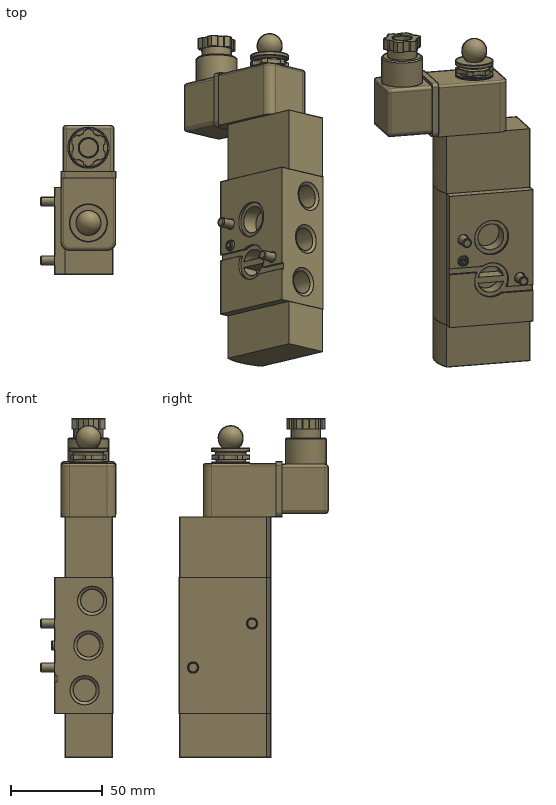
import cadquery as cq
import math


FACE_Y = -28.0
SIDE_X = 13.3
BODY_LEFT_X = -18.5
CAP_LEFT_X = -12.7
BODY_BOTTOM_Z = 23.8
BODY_TOP_Z = 97.9
UPPER_CAP_TOP_Z = 130.9
BACK_Y = 19.4
BACK_BULGE = 2.5
CAP_INSET = 0.2
BODY_MID_Z = (BODY_BOTTOM_Z + BODY_TOP_Z) / 2

FRONT_PORT_D = 12.5
FRONT_PORT_DEPTH = 14.7
FRONT_PORT_CHAMFER = 1.7
FRONT_PORT_CHAMFER_DEPTH = 1.1
FRONT_PORT_PITCH_Z = 24.3
FRONT_PORT_STEP_X = 2.0

SIDE_PORT_Y = -4.5
SIDE_PORT_OFFSET_Z = 12.0
SIDE_PORT_D = 14.5
SIDE_PORT_DEPTH = 10.7
SEAL_RECESS_D = 19.2
SEAL_RECESS_DEPTH = 1.5
PORT_BAR_HEIGHT = 3.3

GROOVE_HEIGHT = 3.3
BACK_GROOVE_Z = 55.3
FRONT_GROOVE_Z = 42.8

SCREW_D = 5.0
SCREW_HOLE_D = 5.9
SCREW_REACH = 7.5
SCREW_CHAMFER = 0.5
BACK_SCREW_Y = 11.6
FRONT_SCREW_Y = -20.5
UPPER_PORT_Z = BODY_MID_Z + SIDE_PORT_OFFSET_Z
LOWER_PORT_Z = BODY_MID_Z - SIDE_PORT_OFFSET_Z
SCREW_PLACES = ((BACK_SCREW_Y, UPPER_PORT_Z), (FRONT_SCREW_Y, LOWER_PORT_Z))
SET_SCREW_REACH = 1.7
SET_SCREW_HOLE_DEPTH = 8.3
SET_SCREW_BORE_D = 2.4
SET_SCREW_BORE_DEPTH = 2.8

COIL_WIDTH = 29.7
COIL_FRONT_Y = -15.0
COIL_BACK_Y = 24.5
COIL_TOP_Z = 159.8
COIL_CORNER_R = 4.6
COIL_EDGE_R = 1.3

GASKET_WIDTH = 29.9
GASKET_BACK_Y = 28.0
GASKET_TOP_Z = 161.0
GASKET_EDGE_R = 2.0

PLUG_WIDTH = 27.7
PLUG_BACK_Y = 53.1
PLUG_BOTTOM_Z = 132.5
PLUG_TOP_Z = 159.5
PLUG_EDGE_R = 1.8
TOWER_Y = 41.0
TOWER_D = 22.3
TOWER_TOP_Z = 173.8
TOWER_CHAMFER = 0.7
NECK_D = 16.0
GLAND_BOTTOM_Z = 178.6
GLAND_TOP_Z = 184.4
GLAND_SIDES = 6
GLAND_ACROSS_FLATS = 18.0
GLAND_NOTCH_WIDTH = 4.0
GLAND_NOTCH_FLOOR_WIDTH = 3.1
GLAND_NOTCH_DEPTH = 0.7
GLAND_BORE_D = 10.0
GLAND_BORE_DEPTH = 11.0
GLAND_BORE_CHAMFER = 0.5

NUT_D = 20.6
NUT_CHAMFER = 0.28
NUT_WAIST_D = 15.9
NUT_FOOT_TOP_Z = 160.8
NUT_GRIP_BOTTOM_Z = 162.0
NUT_GRIP_TOP_Z = 164.5
NUT_HEAD_BOTTOM_Z = 166.5
NUT_TOP_Z = 168.3
NUT_SHOULDER_D = 17.7
NUT_SHOULDER_HEIGHT = 1.1
SCOOP_COUNT = 6
SCOOP_R = 5.5
SCOOP_FLOOR_R = 8.3
BALL_D = 13.6
BALL_Z = 173.7


def box(x_range, y_range, z_range):
    """Box between the given limits."""
    size = [high - low for low, high in (x_range, y_range, z_range)]
    corner = (x_range[0], y_range[0], z_range[0])
    return cq.Workplane("XY").box(*size, centered=False).translate(corner)


def cylinder_up(diameter, bottom_z, top_z, y=0):
    """Vertical cylinder on X = 0."""
    return cq.Workplane("XY", origin=(0, y, bottom_z)).circle(diameter / 2).extrude(top_z - bottom_z)


def cylinder_x(diameter, x, length, y, z):
    """Cylinder from x along +X, or along -X for a negative length."""
    return cq.Workplane("YZ", origin=(x, y, z)).circle(diameter / 2).extrude(length)


def valve_block(left_x, right_x, front_y, bottom_z, top_z):
    """Length of the valve profile, whose back bulges between the caps' left side and right_x."""
    outline = cq.Workplane("XY", origin=(0, 0, bottom_z)).moveTo(left_x, front_y).lineTo(left_x, BACK_Y)
    if left_x < CAP_LEFT_X:
        outline = outline.lineTo(CAP_LEFT_X, BACK_Y)
    bulge_mid_x = (CAP_LEFT_X + right_x) / 2
    outline = outline.threePointArc((bulge_mid_x, BACK_Y + BACK_BULGE), (right_x, BACK_Y))
    return outline.lineTo(right_x, front_y).close().extrude(top_z - bottom_z)


def front_port(x, z):
    """Blind bore into the front face, with a chamfered mouth."""
    mouth_plane = cq.Workplane("XZ", origin=(x, FACE_Y, z))
    bore = mouth_plane.circle(FRONT_PORT_D / 2).extrude(-FRONT_PORT_DEPTH)
    mouth = cq.Solid.makeCone(
        FRONT_PORT_D / 2 + FRONT_PORT_CHAMFER, FRONT_PORT_D / 2, FRONT_PORT_CHAMFER_DEPTH,
        cq.Vector(x, FACE_Y, z), cq.Vector(0, 1, 0),
    )
    return bore.union(mouth)


def side_port(z, barred):
    """Blind bore with a shallow seal recess; a barred port keeps a bar across its bore."""
    bore = cylinder_x(SIDE_PORT_D, BODY_LEFT_X, SIDE_PORT_DEPTH, SIDE_PORT_Y, z)
    if barred:
        bar = box(
            (BODY_LEFT_X, BODY_LEFT_X + SIDE_PORT_DEPTH),
            (SIDE_PORT_Y - SIDE_PORT_D, SIDE_PORT_Y + SIDE_PORT_D),
            (z - PORT_BAR_HEIGHT / 2, z + PORT_BAR_HEIGHT / 2),
        )
        bore = bore.cut(bar)
    recess = cylinder_x(SEAL_RECESS_D, BODY_LEFT_X, SEAL_RECESS_DEPTH, SIDE_PORT_Y, z)
    return bore.union(recess)


def vent_groove(end_y, z):
    """Shallow groove in the -X face from the middle of the seal recess out to end_y."""
    return box(
        (BODY_LEFT_X, BODY_LEFT_X + SEAL_RECESS_DEPTH),
        (min(SIDE_PORT_Y, end_y), max(SIDE_PORT_Y, end_y)),
        (z - GROOVE_HEIGHT / 2, z + GROOVE_HEIGHT / 2),
    )


def make_body():
    body = valve_block(BODY_LEFT_X, SIDE_X, FACE_Y, BODY_BOTTOM_Z, BODY_TOP_Z)
    for step in (-1, 0, 1):
        body = body.cut(front_port(step * FRONT_PORT_STEP_X, BODY_MID_Z + step * FRONT_PORT_PITCH_Z))
    body = body.cut(side_port(UPPER_PORT_Z, barred=False))
    body = body.cut(side_port(LOWER_PORT_Z, barred=True))
    body = body.cut(vent_groove(BACK_Y, BACK_GROOVE_Z))
    body = body.cut(vent_groove(FACE_Y, FRONT_GROOVE_Z))
    for y, z in SCREW_PLACES:
        body = body.cut(cylinder_x(SCREW_HOLE_D, BODY_LEFT_X, SIDE_X - BODY_LEFT_X, y, z))
    return body.cut(cylinder_x(SCREW_HOLE_D, BODY_LEFT_X, SET_SCREW_HOLE_DEPTH, BACK_SCREW_Y, BODY_MID_Z))


def make_cap(bottom_z, top_z):
    return valve_block(CAP_LEFT_X, SIDE_X - CAP_INSET, FACE_Y + CAP_INSET, bottom_z, top_z)


def make_screw(y, z):
    """Screw through the whole width of the body, with a chamfered tip."""
    tip_x = BODY_LEFT_X - SCREW_REACH
    return cylinder_x(SCREW_D, tip_x, SIDE_X - tip_x, y, z).faces("<X").chamfer(SCREW_CHAMFER)


def make_set_screw():
    """Short screw with a blind bore in its end, seated on the bottom of its hole."""
    end_x = BODY_LEFT_X - SET_SCREW_REACH
    length = SET_SCREW_REACH + SET_SCREW_HOLE_DEPTH
    screw = cylinder_x(SCREW_D, end_x, length, BACK_SCREW_Y, BODY_MID_Z)
    screw = screw.faces("<X").chamfer(SCREW_CHAMFER)
    return screw.cut(cylinder_x(SET_SCREW_BORE_D, end_x, SET_SCREW_BORE_DEPTH, BACK_SCREW_Y, BODY_MID_Z))


def make_coil():
    half = COIL_WIDTH / 2
    coil = box((-half, half), (COIL_FRONT_Y, COIL_BACK_Y), (UPPER_CAP_TOP_Z, COIL_TOP_Z))
    coil = coil.edges("|Z and <Y").fillet(COIL_CORNER_R)
    return coil.faces(">Z").edges("not >Y").fillet(COIL_EDGE_R)


def make_gasket():
    half = GASKET_WIDTH / 2
    gasket = box((-half, half), (COIL_BACK_Y, GASKET_BACK_Y), (UPPER_CAP_TOP_Z, GASKET_TOP_Z))
    return gasket.edges("|Y").fillet(GASKET_EDGE_R)


def make_gland():
    """Hexagonal gland nut with a notch down the middle of each flat."""
    height = GLAND_TOP_Z - GLAND_BOTTOM_Z
    side_angle = 360 / GLAND_SIDES
    corner_d = GLAND_ACROSS_FLATS / math.cos(math.radians(side_angle / 2))
    gland = cq.Workplane("XY").polygon(GLAND_SIDES, corner_d).extrude(height)
    gland = gland.rotate((0, 0, 0), (0, 0, 1), side_angle / 2)
    flat_r = GLAND_ACROSS_FLATS / 2
    mouth_half = GLAND_NOTCH_WIDTH / 2
    floor_half = GLAND_NOTCH_FLOOR_WIDTH / 2
    floor_r = flat_r - GLAND_NOTCH_DEPTH
    notch_corners = [
        (floor_r, -floor_half),
        (flat_r, -mouth_half),
        (flat_r, mouth_half),
        (floor_r, floor_half),
    ]
    notch = cq.Workplane("XY").polyline(notch_corners).close().extrude(height)
    for index in range(GLAND_SIDES):
        gland = gland.cut(notch.rotate((0, 0, 0), (0, 0, 1), index * side_angle))
    return gland.translate((0, TOWER_Y, GLAND_BOTTOM_Z))


def make_plug():
    half = PLUG_WIDTH / 2
    plug = box((-half, half), (GASKET_BACK_Y, PLUG_BACK_Y), (PLUG_BOTTOM_Z, PLUG_TOP_Z))
    plug = plug.edges("|Y or >Y").fillet(PLUG_EDGE_R)
    tower = cylinder_up(TOWER_D, (PLUG_BOTTOM_Z + PLUG_TOP_Z) / 2, TOWER_TOP_Z, TOWER_Y)
    plug = plug.union(tower.faces(">Z").chamfer(TOWER_CHAMFER))
    plug = plug.union(cylinder_up(NECK_D, TOWER_TOP_Z, GLAND_BOTTOM_Z, TOWER_Y))
    plug = plug.union(make_gland())
    plug = plug.cut(cylinder_up(GLAND_BORE_D, GLAND_TOP_Z - GLAND_BORE_DEPTH, GLAND_TOP_Z, TOWER_Y))
    bore_mouth = cq.Solid.makeCone(
        GLAND_BORE_D / 2, GLAND_BORE_D / 2 + GLAND_BORE_CHAMFER, GLAND_BORE_CHAMFER,
        cq.Vector(0, TOWER_Y, GLAND_TOP_Z - GLAND_BORE_CHAMFER),
    )
    return plug.cut(bore_mouth)


def make_nut():
    nut = cylinder_up(NUT_WAIST_D, COIL_TOP_Z, NUT_TOP_Z)
    for bottom_z, top_z in ((COIL_TOP_Z, NUT_FOOT_TOP_Z), (NUT_HEAD_BOTTOM_Z, NUT_TOP_Z)):
        flange = cylinder_up(NUT_D, bottom_z, top_z)
        nut = nut.union(flange.faces(">Z").chamfer(NUT_CHAMFER))

    grip = cylinder_up(NUT_D, NUT_GRIP_BOTTOM_Z, NUT_GRIP_TOP_Z)
    scoops = (
        cq.Workplane("XY", origin=(0, 0, NUT_GRIP_BOTTOM_Z))
        .polarArray(SCOOP_FLOOR_R + SCOOP_R, 0, 360, SCOOP_COUNT)
        .circle(SCOOP_R)
        .extrude(NUT_GRIP_TOP_Z - NUT_GRIP_BOTTOM_Z)
    )
    nut = nut.union(grip.cut(scoops))
    for flange_z, direction in ((NUT_GRIP_TOP_Z, 1), (NUT_HEAD_BOTTOM_Z, -1)):
        shoulder = cq.Solid.makeCone(
            NUT_SHOULDER_D / 2, NUT_WAIST_D / 2, NUT_SHOULDER_HEIGHT,
            cq.Vector(0, 0, flange_z), cq.Vector(0, 0, direction),
        )
        nut = nut.union(shoulder)
    ball = cq.Workplane("XY", origin=(0, 0, BALL_Z)).sphere(BALL_D / 2)
    return nut.union(ball)


def make_solenoid():
    """Coil, gasket, plug and armature nut as one piece."""
    return make_coil().union(make_gasket()).union(make_plug()).union(make_nut())


body = make_body()
lower_cap = make_cap(0, BODY_BOTTOM_Z)
upper_cap = make_cap(BODY_TOP_Z, UPPER_CAP_TOP_Z)
screws = [make_screw(y, z) for y, z in SCREW_PLACES]
set_screw = make_set_screw()
solenoid = make_solenoid()

result = cq.Compound.makeCompound([
    body.val(),
    lower_cap.val(),
    upper_cap.val(),
    *[screw.val() for screw in screws],
    set_screw.val(),
    solenoid.val(),
])